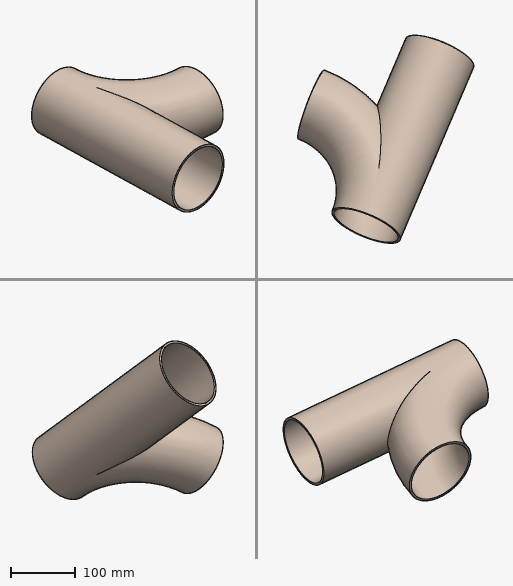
import cadquery as cq

run_length = 305.0
outer_diameter = 114.5
bore_diameter = 107.0
bend_radius = run_length / 2
bend_angle = 90.0


def pipe_section():
    """Annular pipe cross-section at the shared end, on the YZ plane."""
    return cq.Workplane("YZ").circle(outer_diameter / 2).circle(bore_diameter / 2)


def straight_run():
    return pipe_section().extrude(run_length)


def elbow():
    axis_start = (bend_radius, 0)
    axis_end = (bend_radius, 1)
    return pipe_section().revolve(bend_angle, axis_start, axis_end)


def branch_side():
    """Block on the elbow's side of the joint.

    A cylinder and a torus of equal pipe diameter, tangent at x = 0, meet on the
    parabola y = x^2 / (4 * bend_radius). This holds for any pipe diameter, so
    one curved mitre separates the run from the elbow on both the outside and
    the bore. A quadratic Bezier curve reproduces the parabola exactly.
    """
    mitre_end_y = run_length**2 / (4 * bend_radius)
    return (
        cq.Workplane("XY")
        .bezier([(0, 0), (run_length / 2, 0), (run_length, mitre_end_y)])
        .lineTo(0, mitre_end_y)
        .close()
        .extrude(outer_diameter, both=True)
    )


mitred_run = straight_run().cut(branch_side())
mitred_elbow = elbow().intersect(branch_side())
result = mitred_run.union(mitred_elbow)